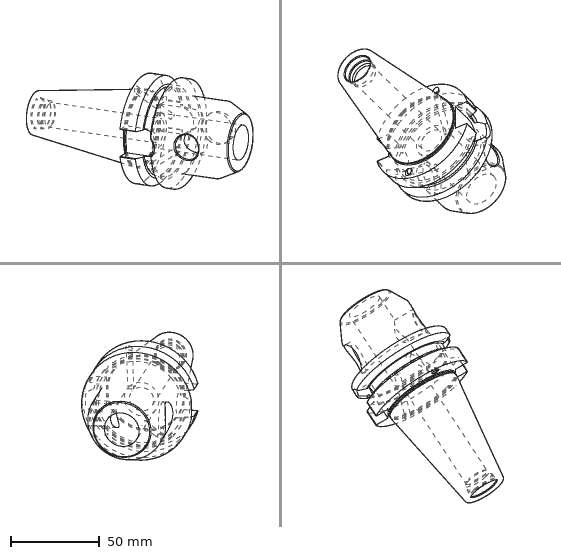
import cadquery as cq
import math

LENGTH = 128.4
TAPER_END = 65.6
FLANGE_START = 67.4
FRONT_LAND_END = 77.0
NECK_START = 79.5
NECK_END = 84.5
REAR_LAND_START = 87.0
FLANGE_END = 92.3
NOSE_CONE_START = 117.0

TAPER_SLOPE = 7 / 48
TAPER_LARGE_RADIUS = 22.28
TAPER_SMALL_RADIUS = TAPER_LARGE_RADIUS - TAPER_SLOPE * TAPER_END
RELIEF_RADIUS = 22.0
FLANGE_RADIUS = 31.52
GROOVE_WALL_RADIUS = 26.8
NECK_RADIUS = 25.3
NOSE_RADIUS = 22.2
NOSE_TIP_RADIUS = 16.8

TAPER_EDGE_FILLET = 0.8
RELIEF_CHAMFER = 0.5
NOSE_CONE_BLEND = 1.0
FLANGE_ROUND = 1.0
NOSE_FILLET = 2.7
NOSE_TIP_CHAMFER = 0.6

MOUTH_RADIUS = 10.3
PILOT_RADIUS = 8.5
MOUTH_ROUND = 1.3
MOUTH_CHAMFER = 0.5
PILOT_DEPTH = 5.3
THREAD_RADIUS = 8.0
CORE_RADIUS = 7.0
THREAD_DEPTH = 8.1
SHANK_BORE_RADIUS = 10.0
SHANK_BORE_START = 77.0

SLOT_RADIUS = 8.0
SLOT_CENTRE_X = 80.1
SLOT_FLOOR = 22.5
SLOT_CHAMFER_START = 30.0
SLOT_FRONT_OVERRUN = 2.6

SCREW_X = 105.0
SCREW_HOLE_RADIUS = 7.25
SCREW_HOLE_CHAMFER = 0.6
RECESS_RADIUS = 9.4
RECESS_FLOOR = 18.0

COOLANT_RADIUS = 1.7
COOLANT_MOUTH_RADIUS = 1.99
COOLANT_MOUTH_DEPTH = 1.3
COOLANT_TILT = 38.0
COOLANT_POSITION = 27.0
COOLANT_ANGLE = 20.0
COOLANT_LENGTH = 25.7
COOLANT_LEAD = 2.6


def turned_body():
    profile = (
        cq.Workplane("XY")
        .lineTo(0, TAPER_SMALL_RADIUS)
        .lineTo(TAPER_END, TAPER_LARGE_RADIUS)
        .lineTo(TAPER_END + RELIEF_CHAMFER, RELIEF_RADIUS)
        .lineTo(FLANGE_START - RELIEF_CHAMFER, RELIEF_RADIUS)
        .lineTo(FLANGE_START, RELIEF_RADIUS + RELIEF_CHAMFER)
        .lineTo(FLANGE_START, FLANGE_RADIUS)
        .lineTo(FRONT_LAND_END, FLANGE_RADIUS)
        .lineTo(NECK_START, GROOVE_WALL_RADIUS)
        .lineTo(NECK_START, NECK_RADIUS)
        .lineTo(NECK_END, NECK_RADIUS)
        .lineTo(NECK_END, GROOVE_WALL_RADIUS)
        .lineTo(REAR_LAND_START, FLANGE_RADIUS)
        .lineTo(FLANGE_END - FLANGE_ROUND, FLANGE_RADIUS)
        .radiusArc((FLANGE_END, FLANGE_RADIUS - FLANGE_ROUND), FLANGE_ROUND)
        .lineTo(FLANGE_END, NOSE_RADIUS + NOSE_FILLET)
        .radiusArc((FLANGE_END + NOSE_FILLET, NOSE_RADIUS), -NOSE_FILLET)
        .lineTo(NOSE_CONE_START, NOSE_RADIUS)
        .lineTo(LENGTH - NOSE_TIP_CHAMFER, NOSE_TIP_RADIUS)
        .lineTo(LENGTH, NOSE_TIP_RADIUS - NOSE_TIP_CHAMFER)
        .lineTo(LENGTH, 0)
        .close()
    )
    body = profile.revolve(360, (0, 0, 0), (1, 0, 0))
    body = body.faces("<X").edges().fillet(TAPER_EDGE_FILLET)
    cone_edge = cq.selectors.BoxSelector(
        (NOSE_CONE_START - 1.3, -NOSE_RADIUS, -NOSE_RADIUS), (NOSE_CONE_START + 1.3, NOSE_RADIUS, NOSE_RADIUS))
    return body.edges(cone_edge).fillet(NOSE_CONE_BLEND)


def stepped_bore():
    profile = (
        cq.Workplane("XY")
        .lineTo(0, MOUTH_RADIUS)
        .radiusArc((MOUTH_ROUND, MOUTH_RADIUS - MOUTH_ROUND), -MOUTH_ROUND)
        .lineTo(MOUTH_ROUND + MOUTH_CHAMFER, PILOT_RADIUS)
        .lineTo(PILOT_DEPTH, PILOT_RADIUS)
        .lineTo(PILOT_DEPTH + PILOT_RADIUS - THREAD_RADIUS, THREAD_RADIUS)
        .lineTo(THREAD_DEPTH, THREAD_RADIUS)
        .lineTo(THREAD_DEPTH + THREAD_RADIUS - CORE_RADIUS, CORE_RADIUS)
        .lineTo(SHANK_BORE_START, CORE_RADIUS)
        .lineTo(SHANK_BORE_START, SHANK_BORE_RADIUS)
        .lineTo(LENGTH, SHANK_BORE_RADIUS)
        .lineTo(LENGTH, 0)
        .close()
    )
    return profile.revolve(360, (0, 0, 0), (1, 0, 0))


def slot_outline(depth):
    """Outline of the -Y slot, on a plane at this distance from the axis, running out past the flange face."""
    front = FLANGE_START - SLOT_FRONT_OVERRUN
    return (
        cq.Workplane("XZ", origin=(0, -depth, 0))
        .moveTo(front, -SLOT_RADIUS)
        .lineTo(SLOT_CENTRE_X, -SLOT_RADIUS)
        .threePointArc((SLOT_CENTRE_X + SLOT_RADIUS, 0), (SLOT_CENTRE_X, SLOT_RADIUS))
        .lineTo(front, SLOT_RADIUS)
        .close()
    )


def drive_slot():
    channel = slot_outline(SLOT_FLOOR).extrude(FLANGE_RADIUS - SLOT_FLOOR)
    chamfer = slot_outline(SLOT_CHAMFER_START).extrude(FLANGE_RADIUS - SLOT_CHAMFER_START, taper=-45)
    return channel.union(chamfer)


def drill_screw_hole(body):
    plane = cq.Workplane("XZ", origin=(SCREW_X, 0, 0))
    drilled = body.cut(plane.circle(SCREW_HOLE_RADIUS).extrude(FLANGE_RADIUS))
    mouth = cq.selectors.BoxSelector(
        (SCREW_X - 1.3, -NOSE_RADIUS - 1.3, -1.3), (SCREW_X + 1.3, -NOSE_RADIUS + 3.9, 1.3))
    return drilled.edges(mouth).chamfer(SCREW_HOLE_CHAMFER)


def balancing_recess():
    plane = cq.Workplane("XZ", origin=(SCREW_X, RECESS_FLOOR, 0))
    return plane.circle(RECESS_RADIUS).extrude(RECESS_FLOOR - FLANGE_RADIUS)


def coolant_hole():
    tilt = math.radians(COOLANT_TILT)
    direction = cq.Vector(math.cos(tilt), 0, -math.sin(tilt))
    entry = cq.Vector(FLANGE_START, 0, COOLANT_POSITION)
    start = entry - direction * COOLANT_LEAD
    drill = cq.Solid.makeCylinder(COOLANT_RADIUS, COOLANT_LEAD + COOLANT_LENGTH, start, direction)
    mouth = cq.Solid.makeCylinder(
        COOLANT_MOUTH_RADIUS, COOLANT_LEAD + COOLANT_MOUTH_DEPTH, start, direction)
    return cq.Workplane(drill).union(cq.Workplane(mouth)).rotate((0, 0, 0), (1, 0, 0), COOLANT_ANGLE)


result = drill_screw_hole(turned_body().cut(stepped_bore())).cut(balancing_recess())
for turn in (0, 180):
    for cutter in (drive_slot(), coolant_hole()):
        result = result.cut(cutter.rotate((0, 0, 0), (1, 0, 0), turn))